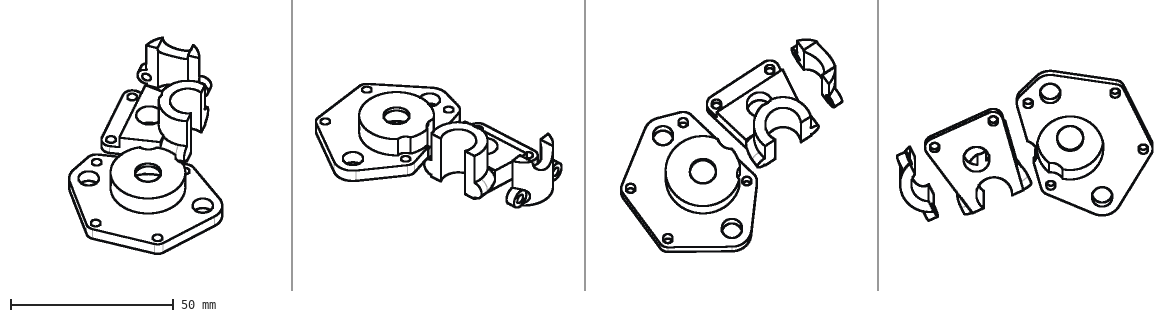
import cadquery as cq
import math


total_height = 17.0
shaft_hole_dia = 8.0
screw_hole_dia = 3.0
small_hole_dia = 2.8
ring_outer_radius = 9.0
ring_inner_radius = 5.5
ear_offset = 8.5
ear_radius = 3.0
ear_height = 3.6

plate_width = 49.0
plate_thickness = 4.1
boss_radius = 11.5
boss_top = 10.5
cavity_wall = 1.3
cavity_radius = boss_radius - cavity_wall
cavity_roof = 1.2
mount_hole_dia = 6.2
mount_lug_radius = 6.0
mount_half_span = plate_width / 2 - mount_lug_radius
mount_y = -2.05
bottom_lug_radius = 2.9
bottom_hole_half_span = 10.0
bottom_hole_y = -20.1
left_screw = (-mount_half_span, 5.5)
left_lug_radius = 3.5
right_screw = (8.35, 10.6)
right_lug_radius = 3.1
screw_head_radius = 3.0
screw_post_radius = screw_head_radius + cavity_wall
notch_center = (-4.5, 13.6)
notch_radius = 4.1

ring_center = (3.5, 27.5)
ring_cut_x = 6.15
bracket_plate_thickness = 3.0
block_top = 7.0
block_left = -14.5
bracket_screw_x = -18.0
bracket_screw_half_span = 9.95
bracket_corner_radius = 3.0
bracket_shaft_x = -9.05
block_right = ring_center[0] - ring_inner_radius
base_end_half_width = 8.7

strap_center = (-8.0, 44.1)
strap_face_y = strap_center[1] + 2.5
ear_thickness = 3.05
saddle_radius = 4.95


def cylinder(center, radius, bottom, top):
    """Vertical cylinder between two heights."""
    return cq.Workplane("XY", origin=(*center, bottom)).circle(radius).extrude(top - bottom)


def y_cylinder(x, z, radius, start, end):
    """Cylinder along +Y between two Y positions."""
    plane = cq.Plane(origin=(x, start, z), xDir=(1, 0, 0), normal=(0, 1, 0))
    return cq.Workplane(plane).circle(radius).extrude(end - start)


def box(x_range, y_range, z_range):
    """Box between the given limits."""
    size = [limits[1] - limits[0] for limits in (x_range, y_range, z_range)]
    corner = (x_range[0], y_range[0], z_range[0])
    return cq.Workplane("XY", origin=corner).box(*size, centered=False)


def outer_tangent(first, second):
    """Touch points of the right-hand common tangent of two (x, y, radius) circles."""
    dx = second[0] - first[0]
    dy = second[1] - first[1]
    heading = math.atan2(dy, dx)
    angle = heading - math.acos((first[2] - second[2]) / math.hypot(dx, dy))
    return [(x + r * math.cos(angle), y + r * math.sin(angle)) for x, y, r in (first, second)]


def rounded_plate(lugs, thickness):
    """Plate wrapped tightly around lug circles listed counter-clockwise."""
    sides = [outer_tangent(lug, lugs[(i + 1) % len(lugs)]) for i, lug in enumerate(lugs)]
    outline = cq.Workplane("XY").moveTo(*sides[0][0])
    for i, side in enumerate(sides):
        x, y, radius = lugs[(i + 1) % len(lugs)]
        next_start = sides[(i + 1) % len(sides)][0]
        mid_x = (side[1][0] + next_start[0]) / 2 - x
        mid_y = (side[1][1] + next_start[1]) / 2 - y
        reach = radius / math.hypot(mid_x, mid_y)
        outline = outline.lineTo(*side[1])
        outline = outline.threePointArc((x + mid_x * reach, y + mid_y * reach), next_start)
    return outline.close().extrude(thickness)


def make_housing():
    mounts = [(side * mount_half_span, mount_y) for side in (-1, 1)]
    bottom_screws = [(side * bottom_hole_half_span, bottom_hole_y) for side in (-1, 1)]
    lugs = [
        (*mounts[0], mount_lug_radius),
        (*bottom_screws[0], bottom_lug_radius),
        (*bottom_screws[1], bottom_lug_radius),
        (*mounts[1], mount_lug_radius),
        (*right_screw, right_lug_radius),
        (*left_screw, left_lug_radius),
    ]
    plate = rounded_plate(lugs, plate_thickness)
    boss = cylinder((0, 0), boss_radius, 0, boss_top)
    head_clearance = cylinder(right_screw, screw_head_radius, plate_thickness, boss_top)
    body = plate.union(boss.cut(head_clearance))

    cavity = cylinder((0, 0), cavity_radius, 0, boss_top - cavity_roof)
    post = cylinder(right_screw, screw_post_radius, 0, boss_top)
    body = body.cut(cavity.cut(post))
    body = body.cut(cylinder((0, 0), shaft_hole_dia / 2, 0, boss_top))
    body = body.cut(cylinder(notch_center, notch_radius, 0, boss_top))

    for center in mounts:
        body = body.cut(cylinder(center, mount_hole_dia / 2, 0, plate_thickness))
    for center in (*bottom_screws, left_screw):
        body = body.cut(cylinder(center, screw_hole_dia / 2, 0, plate_thickness))
    return body.cut(cylinder(right_screw, small_hole_dia / 2, 0, plate_thickness))


def make_bracket_base():
    """Wedge: a thin plate reaching under the whole ring and a block on its middle stretch."""
    ring_y = ring_center[1]
    corner = (bracket_screw_x, -bracket_screw_half_span, bracket_corner_radius)
    tip = (ring_cut_x, -base_end_half_width, 0)
    corner_touch, tip_touch = outer_tangent(corner, tip)
    left = bracket_screw_x - bracket_corner_radius
    diagonal = bracket_corner_radius * math.sqrt(0.5)
    arc_middle = (bracket_screw_x - diagonal, bracket_screw_half_span + diagonal)
    wedge = (
        cq.Workplane("XY", origin=(0, ring_y, 0))
        .moveTo(*tip_touch)
        .lineTo(tip_touch[0], -tip_touch[1])
        .lineTo(corner_touch[0], -corner_touch[1])
        .threePointArc(arc_middle, (left, bracket_screw_half_span))
        .lineTo(left, -bracket_screw_half_span)
        .threePointArc((arc_middle[0], -arc_middle[1]), corner_touch)
        .close()
        .extrude(block_top)
    )
    reach = bracket_screw_half_span + bracket_corner_radius
    for x_range in ((left, block_left), (block_right, ring_cut_x)):
        step = box(x_range, (ring_y - reach, ring_y + reach), (bracket_plate_thickness, block_top))
        wedge = wedge.cut(step)
    return wedge


def make_ring_flange():
    """Round-section flange bent around the ring, ending in straight ears along X."""
    ring_x, ring_y = ring_center
    bend = (
        cq.Workplane("XZ", origin=(ring_x, ring_y, 0))
        .center(ear_offset, ear_height)
        .circle(ear_radius)
        .revolve(360, (-ear_offset, 0), (-ear_offset, 1))
    )
    reach = ear_offset + ear_radius
    bend = bend.intersect(
        box((block_right, ring_x), (ring_y - reach, ring_y + reach), (0, total_height))
    )
    for side in (-1, 1):
        start = (ring_x, ring_y + side * ear_offset, ear_height)
        ear = cq.Workplane("YZ", origin=start).circle(ear_radius).extrude(ring_cut_x - ring_x)
        bend = bend.union(ear)
    return bend


def make_bracket():
    ring_x, ring_y = ring_center
    ring = cylinder(ring_center, ring_outer_radius, 0, total_height)
    ring = ring.cut(
        box(
            (ring_cut_x, ring_x + ring_outer_radius),
            (ring_y - ring_outer_radius, ring_y + ring_outer_radius),
            (0, total_height),
        )
    )
    body = make_bracket_base().union(ring).union(make_ring_flange())
    body = body.cut(cylinder(ring_center, ring_inner_radius, 0, total_height))
    body = body.cut(cylinder((bracket_shaft_x, ring_y), shaft_hole_dia / 2, 0, total_height))
    for side in (-1, 1):
        center = (bracket_screw_x, ring_y + side * bracket_screw_half_span)
        body = body.cut(cylinder(center, screw_hole_dia / 2, 0, bracket_plate_thickness))
    return body


def make_strap():
    center_x, center_y = strap_center
    back_y = center_y + ring_outer_radius
    ear_back_y = strap_face_y + ear_thickness
    keep = box(
        (center_x - ring_outer_radius, center_x + ring_outer_radius),
        (strap_face_y, back_y),
        (0, total_height),
    )
    body = cylinder(strap_center, ring_outer_radius, 0, total_height).intersect(keep)

    for side in (-1, 1):
        ear_x = center_x + side * ear_offset
        body = body.cut(y_cylinder(ear_x, ear_height, ear_radius, ear_back_y, back_y))
        tab = y_cylinder(ear_x, ear_height, ear_radius, strap_face_y, ear_back_y)
        body = body.union(tab)
        body = body.cut(y_cylinder(ear_x, ear_height, small_hole_dia / 2, strap_face_y, ear_back_y))

    body = body.cut(cylinder(strap_center, ring_inner_radius, 0, total_height))
    return body.cut(y_cylinder(center_x, total_height, saddle_radius, strap_face_y, back_y))


housing = make_housing()
bracket = make_bracket()
strap = make_strap()

result = cq.Compound.makeCompound([housing.val(), bracket.val(), strap.val()])